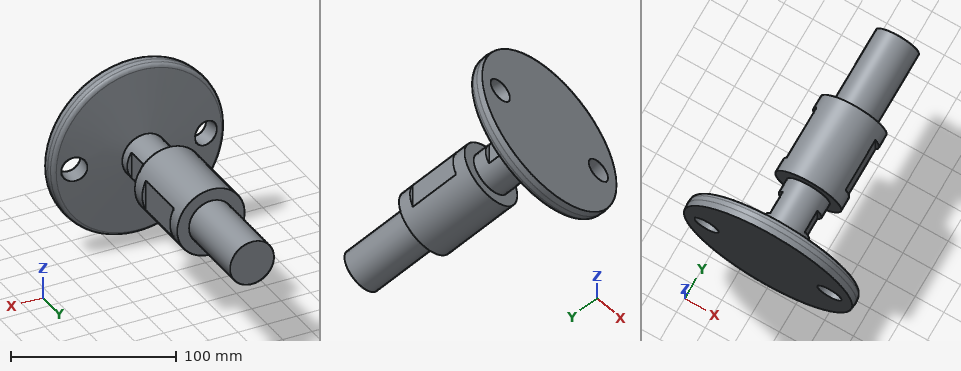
import cadquery as cq
import math

TOTAL_LENGTH = 157.0

RIDGE_DIAMETER = 118.0
RIDGE_Y = 4.1
RIM_INSET = 0.5
CONE_ANGLE = 10.0
CONE_TOP_Y = 17.3
RIM_FILLET = 3.0

HOLE_DIAMETER = 16.5
HOLE_OFFSET = 42.7

SPINDLE_DIAMETER = 30.0
SPINDLE_FLAT_WIDTH = 24.0
SPINDLE_FLAT_START = 23.7
SPINDLE_FLAT_END = 39.0

SLEEVE_DIAMETER = 46.0
SLEEVE_START = 48.8
SLEEVE_END = 103.8
SLEEVE_FLAT_WIDTH = 41.0
SLEEVE_FLAT_START = 58.4
SLEEVE_FLAT_END = 94.5

SIDES = (-1, 1)


def cylinder_y(diameter, start, end):
    """Cylinder on the Y axis between two Y positions."""
    return cq.Workplane("XZ", origin=(0, start, 0)).circle(diameter / 2).extrude(start - end)


def cut_flats(body, diameter, across, start, end):
    """Cut two opposite flats, facing -X and +X, into a round body."""
    depth = (diameter - across) / 2
    for side in SIDES:
        center = (side * (across + depth) / 2, (start + end) / 2, 0)
        cutter = cq.Workplane("XY").box(depth, end - start, diameter).translate(center)
        body = body.cut(cutter)
    return body


def make_plate():
    """Revolved foot plate: ridged rim, rounded shoulder and conical top."""
    spindle_radius = SPINDLE_DIAMETER / 2
    ridge_radius = RIDGE_DIAMETER / 2
    rim_radius = ridge_radius - RIM_INSET
    shoulder_y = CONE_TOP_Y - (rim_radius - spindle_radius) * math.tan(math.radians(CONE_ANGLE))
    profile = [
        (0, 0),
        (rim_radius, 0),
        (ridge_radius, RIDGE_Y),
        (rim_radius, shoulder_y),
        (spindle_radius, CONE_TOP_Y),
        (0, CONE_TOP_Y),
    ]
    plate = cq.Workplane("XY").polyline(profile).close().revolve(360, (0, 0, 0), (0, 1, 0))
    shoulder_edge = cq.selectors.NearestToPointSelector((0, shoulder_y, 0))
    return plate.edges("%CIRCLE").edges(shoulder_edge).fillet(RIM_FILLET)


def make_anchor_hole(side):
    """Drill leaning outward towards the top, square to the cone."""
    angle = math.radians(CONE_ANGLE)
    direction = cq.Vector(side * math.sin(angle), math.cos(angle), 0)
    start = cq.Vector(side * HOLE_OFFSET, 0, 0) - direction * CONE_TOP_Y
    drill = cq.Solid.makeCylinder(HOLE_DIAMETER / 2, 2 * CONE_TOP_Y, start, direction)
    return cq.Workplane(drill)


def make_foot():
    """Foot plate and spindle in one piece."""
    spindle = cylinder_y(SPINDLE_DIAMETER, 0, TOTAL_LENGTH)
    spindle = cut_flats(
        spindle, SPINDLE_DIAMETER, SPINDLE_FLAT_WIDTH, SPINDLE_FLAT_START, SPINDLE_FLAT_END
    )
    foot = make_plate().union(spindle)
    for side in SIDES:
        foot = foot.cut(make_anchor_hole(side))
    return foot


def make_sleeve():
    """Sleeve with wrench flats, bored to fit the spindle."""
    sleeve = cylinder_y(SLEEVE_DIAMETER, SLEEVE_START, SLEEVE_END)
    sleeve = sleeve.cut(cylinder_y(SPINDLE_DIAMETER, SLEEVE_START, SLEEVE_END))
    return cut_flats(sleeve, SLEEVE_DIAMETER, SLEEVE_FLAT_WIDTH, SLEEVE_FLAT_START, SLEEVE_FLAT_END)


foot = make_foot()
sleeve = make_sleeve()

result = cq.Compound.makeCompound([foot.solids().val(), sleeve.solids().val()])